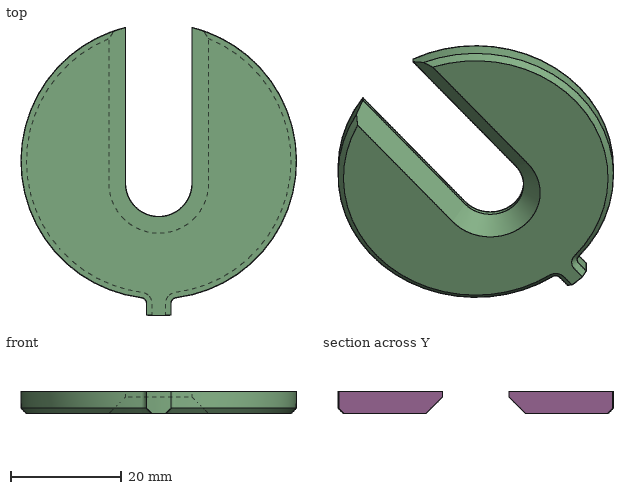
import cadquery as cq

disc_radius = 25.0
thickness = 4.0
rim_chamfer = 1.0

tab_width = 4.5
tab_end_radius = 28.0
tab_root_fillet = 1.0

slot_radius = 6.0
slot_center_y = -4.0
slot_lip_height = 1.0
flare_height = thickness - slot_lip_height
flare_angle = 45
slot_overrun = 2 * disc_radius


def chamfered_disc_with_tab():
    """Disc and tab with filleted roots and a chamfer along the bottom rim."""
    disc = cq.Workplane("XY").circle(disc_radius).extrude(thickness)
    rough_length = tab_end_radius + 2 * rim_chamfer
    tab = (
        cq.Workplane("XY")
        .center(0, -rough_length / 2)
        .rect(tab_width, rough_length)
        .extrude(thickness)
    )
    root_edges = cq.selectors.BoxSelector(
        (-tab_width, -disc_radius - rim_chamfer, -thickness),
        (tab_width, -disc_radius + rim_chamfer, 2 * thickness),
    )
    body = disc.union(tab)
    body = body.edges("|Z").edges(root_edges).fillet(tab_root_fillet)
    body = body.faces("<Z").edges().chamfer(rim_chamfer)
    trim = cq.Workplane("XY").circle(tab_end_radius).extrude(thickness)
    return body.intersect(trim)


def slot_cutter(radius, height, taper=0):
    """U-shaped cutter, round at its closed end and running out toward +Y."""
    return (
        cq.Workplane("XY")
        .moveTo(-radius, slot_overrun)
        .lineTo(-radius, slot_center_y)
        .threePointArc((0, slot_center_y - radius), (radius, slot_center_y))
        .lineTo(radius, slot_overrun)
        .close()
        .extrude(height, taper=taper)
    )


straight_slot = slot_cutter(slot_radius, thickness)
flare = slot_cutter(slot_radius + flare_height, flare_height, flare_angle)

result = chamfered_disc_with_tab().cut(straight_slot).cut(flare)